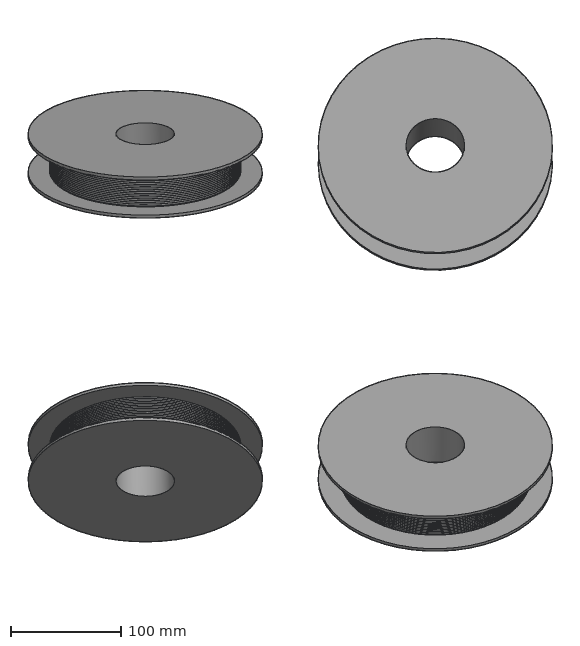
import cadquery as cq

flange_diameter = 212.0
bore_diameter = 52.8
total_height = 40.0
flange_thickness = 3.0
core_diameter = 172.0

turn_count = 19
spare_turns = 0.5

flange_radius = flange_diameter / 2
bore_radius = bore_diameter / 2
core_radius = core_diameter / 2
core_bottom = -total_height / 2 + flange_thickness
core_top = total_height / 2 - flange_thickness
wire_diameter = (core_top - core_bottom) / (turn_count + spare_turns)
wire_radius = wire_diameter / 2


def spool_profile():
    """Half section in the XZ plane, walked downward along the ringed core."""
    profile = (
        cq.Workplane("XZ")
        .moveTo(bore_radius, total_height / 2)
        .lineTo(flange_radius, total_height / 2)
        .lineTo(flange_radius, core_top)
        .lineTo(core_radius, core_top)
    )
    for turn in range(turn_count):
        turn_center = core_top - (turn + 0.5) * wire_diameter
        profile = profile.threePointArc(
            (core_radius + wire_radius, turn_center),
            (core_radius, turn_center - wire_radius),
        )
    return (
        profile.lineTo(core_radius, core_bottom)
        .lineTo(flange_radius, core_bottom)
        .lineTo(flange_radius, -total_height / 2)
        .lineTo(bore_radius, -total_height / 2)
        .close()
    )


result = spool_profile().revolve(360, (0, 0, 0), (0, 1, 0))